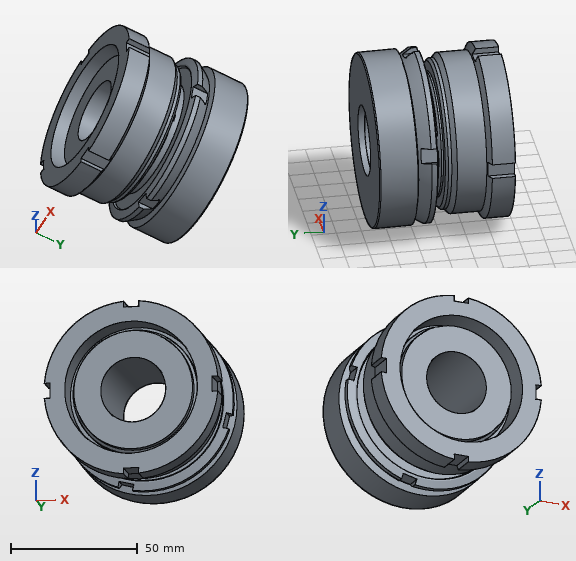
import cadquery as cq
import math


outer_radius = 35.0
land_radius = 32.0
thread_radius = 25.0
rim_slope = math.tan(math.radians(15))

notch_count = 4
notch_width = 6.05
notch_floor = 32.6

nut_length = 27.1
recess_radius = 26.7
recess_depth = 12.0
nut_rim_length = 9.3
nut_rim_slope = math.tan(math.radians(30))
nut_rim_end = nut_rim_length + (outer_radius - land_radius) * nut_rim_slope
nut_body_end = 22.8
collar_radius = 30.1
collar_start = nut_body_end + land_radius - collar_radius
collar_chamfer = 1.05

spindle_bore = 13.0
spindle_front = 4.5
pilot_length = 3.0
thread_chamfer = 1.1
neck_radius = thread_radius - thread_chamfer
thread_start = spindle_front + pilot_length + thread_chamfer
thread_end = 27.9
neck_start = thread_end + thread_chamfer
neck_fillet = 0.55
flange_front = 30.55
flange_chamfer = (outer_radius - land_radius) * rim_slope
pocket_mouth_radius = 31.25
pocket_floor_radius = 30.75
pocket_depth = 0.85
pocket_floor = flange_front + pocket_depth
flange_rim_end = 33.5
spindle_turn = 14

ball_radius = 40.0
ball_center = flange_rim_end - math.sqrt(ball_radius**2 - outer_radius**2)

cap_bore = 14.1
cap_front = 38.35
cap_land_radius = 32.4
cap_front_chamfer = (outer_radius - cap_land_radius) * rim_slope
cap_back = 54.4
cap_back_chamfer = 0.5
cap_tilt = -0.58


def seat_height(radius):
    """Return y of the spherical seat at a distance from the axis."""
    return ball_center + math.sqrt(ball_radius**2 - radius**2)


def seat_radius(y):
    """Return the distance of the spherical seat from the axis at y."""
    return math.sqrt(ball_radius**2 - (y - ball_center) ** 2)


def turned(profile):
    """Revolve a closed (radius, y) outline around the Y axis."""
    return profile.close().revolve(360, (0, 0, 0), (0, 1, 0))


def seat_arc(profile, start_radius, end_radius, end_y):
    """Continue an outline along the spherical seat."""
    middle_radius = (start_radius + end_radius) / 2
    return profile.threePointArc((middle_radius, seat_height(middle_radius)), (end_radius, end_y))


def cut_notches(body, start, end):
    """Cut flat-floored wrench notches into a rim between two places along Y."""
    depth = outer_radius - notch_floor + 0.7
    cutter = cq.Workplane("XY").box(notch_width, end - start, depth, centered=(True, False, False))
    cutter = cutter.translate((0, start, notch_floor))
    for index in range(notch_count):
        body = body.cut(cutter.rotate((0, 0, 0), (0, 1, 0), index * 360 / notch_count))
    return body


def make_nut():
    profile = cq.Workplane("XY").polyline([
        (recess_radius, 0),
        (outer_radius, 0),
        (outer_radius, nut_rim_length),
        (land_radius, nut_rim_end),
        (land_radius, nut_body_end),
        (collar_radius, collar_start),
        (collar_radius, nut_length - collar_chamfer),
        (collar_radius - collar_chamfer, nut_length),
        (thread_radius, nut_length),
        (thread_radius, recess_depth),
        (recess_radius, recess_depth),
    ])
    return cut_notches(turned(profile), 0, nut_rim_end)


def round_neck(spindle):
    """Fillet the corner where the threaded end slopes down to the neck."""
    size = 2 * neck_radius + neck_fillet
    corner_box = cq.selectors.BoxSelector(
        (-size / 2, neck_start - neck_fillet / 2, -size / 2),
        (size / 2, neck_start + neck_fillet / 2, size / 2),
        boundingbox=True,
    )
    return spindle.edges(corner_box).fillet(neck_fillet)


def make_spindle():
    profile = cq.Workplane("XY").polyline([
        (spindle_bore, spindle_front),
        (neck_radius, spindle_front),
        (neck_radius, spindle_front + pilot_length),
        (thread_radius, thread_start),
        (thread_radius, thread_end),
        (neck_radius, neck_start),
        (neck_radius, pocket_floor),
        (pocket_floor_radius, pocket_floor),
        (pocket_mouth_radius, flange_front),
        (land_radius, flange_front),
        (outer_radius, flange_front + flange_chamfer),
        (outer_radius, flange_rim_end),
    ])
    profile = seat_arc(profile, outer_radius, spindle_bore, seat_height(spindle_bore))
    spindle = round_neck(turned(profile))
    spindle = cut_notches(spindle, flange_front, seat_height(notch_floor))
    return spindle.rotate((0, 0, 0), (0, 1, 0), spindle_turn)


def make_cap():
    profile = cq.Workplane("XY").polyline([
        (cap_bore, seat_height(cap_bore)),
        (cap_bore, cap_back),
        (outer_radius - cap_back_chamfer, cap_back),
        (outer_radius, cap_back - cap_back_chamfer),
        (outer_radius, cap_front + cap_front_chamfer),
        (cap_land_radius, cap_front),
        (seat_radius(cap_front), cap_front),
    ])
    profile = seat_arc(profile, seat_radius(cap_front), cap_bore, seat_height(cap_bore))
    return turned(profile).rotate((0, ball_center, 0), (1, ball_center, 0), cap_tilt)


nut = make_nut()
spindle = make_spindle()
cap = make_cap()

result = cq.Compound.makeCompound([nut.val(), spindle.val(), cap.val()])